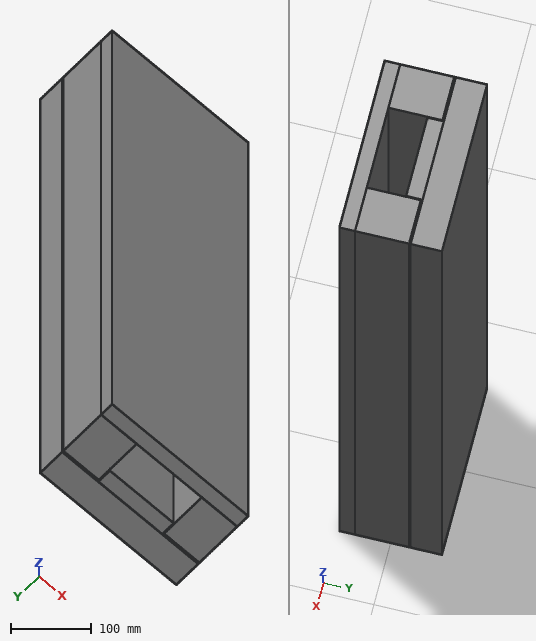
import cadquery as cq

width = 230.0
height = 1000.0

back_thickness = 40.0
front_thickness = 20.0
rail_width = 60.0
rail_depth = 69.0
seal_thickness = 2.0
strip_thickness = 21.0
strip_clearance = 1.0

opening_width = width - 2 * rail_width
strip_width = opening_width - 2 * strip_clearance
depth = front_thickness + rail_depth + seal_thickness + back_thickness
front_y = -depth / 2
rail_y = front_y + front_thickness
seal_y = rail_y + rail_depth
back_y = seal_y + seal_thickness
strip_y = back_y - strip_thickness
rail_offset = (width - rail_width) / 2


def upright_board(board_width, thickness, near_y, center_x=0.0):
    """Full-height board whose -Y face lies at near_y."""
    board = cq.Workplane("XY").box(board_width, thickness, height, centered=(True, False, True))
    return board.translate((center_x, near_y, 0))


def side_rail(center_x):
    """Spacer rail between the front panel and a seal."""
    return upright_board(rail_width, rail_depth, rail_y, center_x)


def seal(center_x):
    """Thin layer between a side rail and the back panel."""
    return upright_board(rail_width, seal_thickness, seal_y, center_x)


front_panel = upright_board(width, front_thickness, front_y)
back_panel = upright_board(width, back_thickness, back_y)

locating_strip = upright_board(strip_width, strip_thickness, strip_y)

side_rails = []
seals = []
for side in (-1, 1):
    side_rails.append(side_rail(side * rail_offset).val())
    seals.append(seal(side * rail_offset).val())

result = cq.Compound.makeCompound(
    [front_panel.val(), back_panel.val(), locating_strip.val(), *side_rails, *seals]
)